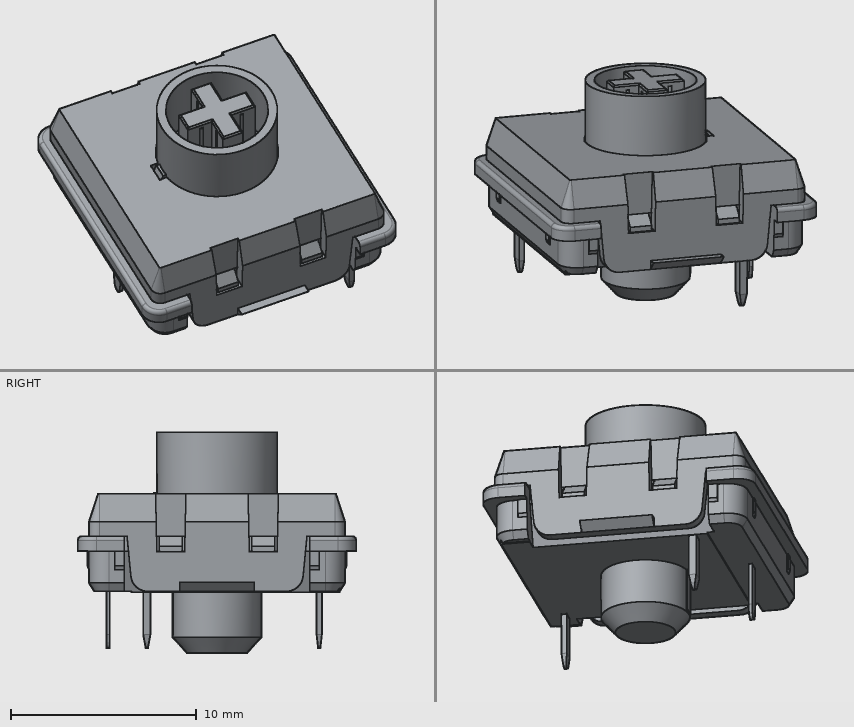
import cadquery as cq
import math

total_height = 11.9
base_bottom = 3.33
flange_bottom = 5.49
base_top = 6.3
slope_start = 7.08
cover_top = 8.6

body_half = 6.9
flange_half = 7.5

cover_slope_inset = 0.5
cover_corner_radius = 0.55
flap_thickness = 0.68
flap_half_top = 4.85
flap_half_bottom = 4.56
flap_corner_radius = 0.9
flap_inner = body_half - flap_thickness

barb_half_width = 2.0
barb_reach = 0.51
barb_height = 0.5

window_center = 2.49
window_width = 1.5
window_top_width = 1.64
window_bottom = 5.46

stem_diameter = 6.5
stem_bore_diameter = 6.6
key_notch_width = 1.14
key_notch_reach = 3.68
key_notch_depth = 0.75

base_corner_radius = 1.08
base_chamfer_height = 0.45
base_chamfer_inset = 0.28
flange_corner_radius = 1.0
flange_round = 0.22
recess_half_width = 5.0
recess_floor_slope = 20.0

hook_width = 1.22
hook_reach = 0.52
hook_edge = 5.75

rib_width = 0.51
rib_protrusion = 0.08
rib_bottom = 4.5
rib_chamfer_height = 0.2
front_rib_offset = 4.26
side_rib_offset = 5.25

pad_half_x = 6.27
pad_y_min = -4.6
pad_y_max = 6.6
pad_thickness = 0.06

post_diameter = 4.8
post_tip_diameter = 3.24
post_taper_height = 0.85
key_rib_width = 0.93
key_rib_bottom = 0.99

cup_diameter = 5.5
cup_depth = 3.6
cross_length = 4.0
cross_arm_width = 1.17
cross_chamfer = 0.09
ridge_diameter = 0.25
ridge_protrusion = 0.05
ridge_offset = 1.2
ridge_top_gap = 0.3
key_width = 0.87
key_reach = 3.63
key_top = 8.64
key_flat_reach = 3.4
key_tip_drop = 0.6

pin_width = 0.8
pin_top = 4.2
pin_tip = 0.27
pin_taper_start = 1.02
pin_round_start = 0.55
pin_round_half_width = 0.32
pin_edge_thickness = 0.14
tapered_pins = [
    (-4.98, -3.78, 0.4),
    (4.98, 5.5, 0.3),
]
flat_pin_x = 0.03
flat_pin_y = -5.86
flat_pin_thickness = 0.2


def box(x_min, x_max, y_min, y_max, z_min, z_max):
    """Axis-aligned block between two opposite corners."""
    return cq.Workplane("XY").box(
        x_max - x_min, y_max - y_min, z_max - z_min, centered=False
    ).translate((x_min, y_min, z_min))


def extrude_along_y(outline, length, y_center=0):
    """Prism with a closed XZ outline, centred on y_center."""
    prism = cq.Workplane("XZ").polyline(outline).close().extrude(length / 2, both=True)
    return prism.translate((0, y_center, 0))


def on_both_x_sides(feature):
    """The feature and its mirror image in the YZ plane."""
    return [feature, feature.mirror("YZ")]


def rounded_block(half, radius, z_min, z_max):
    """Square block with rounded vertical edges."""
    return box(-half, half, -half, half, z_min, z_max).edges("|Z").fillet(radius)


def pin_blank(thickness):
    """Straight pin with a narrowing, rounded end, centred on X = Y = 0."""
    half = pin_width / 2
    return (
        cq.Workplane("XZ")
        .moveTo(-half, pin_top)
        .lineTo(-half, pin_taper_start)
        .lineTo(-pin_round_half_width, pin_round_start)
        .threePointArc((0, pin_tip), (pin_round_half_width, pin_round_start))
        .lineTo(half, pin_taper_start)
        .lineTo(half, pin_top)
        .close()
        .extrude(thickness / 2, both=True)
    )


def tapered_pin(thickness):
    """Pin whose faces also converge towards the tip."""
    half = thickness / 2
    edge = pin_edge_thickness / 2
    side_outline = [
        (-half, pin_top),
        (-half, pin_taper_start),
        (-edge, pin_tip),
        (edge, pin_tip),
        (half, pin_taper_start),
        (half, pin_top),
    ]
    wedge = cq.Workplane("YZ").polyline(side_outline).close().extrude(pin_width / 2, both=True)
    return pin_blank(thickness).intersect(wedge)


def make_pins():
    pins = []
    for x, y, thickness in tapered_pins:
        pins.append(tapered_pin(thickness).translate((x, y, 0)))
    pins.append(pin_blank(flat_pin_thickness).translate((flat_pin_x, flat_pin_y, 0)))
    return pins


def side_recess():
    """Space for the -X cover flap; its floor slopes inwards below the flange."""
    floor_bottom = flap_inner - (flange_bottom - base_bottom) * math.tan(math.radians(recess_floor_slope))
    outline = [
        (-flange_half, base_top),
        (-flap_inner, base_top),
        (-flap_inner, flange_bottom),
        (-floor_bottom, base_bottom - pad_thickness),
        (-flange_half, base_bottom - pad_thickness),
    ]
    return extrude_along_y(outline, 2 * recess_half_width)


def latch_hook(y_center):
    """Snap hook on the -X side, filling the lower part of a cover window."""
    outline = [
        (-flap_inner, window_bottom),
        (-flap_inner - hook_reach, window_bottom),
        (-flap_inner - hook_reach, hook_edge),
        (-flap_inner, base_top),
    ]
    return extrude_along_y(outline, hook_width, y_center)


def wall_rib():
    """Small rib with a sloped lower end, standing on the -X wall at Y = 0."""
    outline = [
        (-flap_inner, flange_bottom),
        (-body_half - rib_protrusion, flange_bottom),
        (-body_half - rib_protrusion, rib_bottom + rib_chamfer_height),
        (-body_half, rib_bottom),
        (-flap_inner, rib_bottom),
    ]
    return extrude_along_y(outline, rib_width)


def locating_post():
    radius = post_diameter / 2
    post = (
        cq.Workplane("XY")
        .circle(radius)
        .extrude(flange_bottom)
        .faces("<Z")
        .chamfer(post_taper_height, (post_diameter - post_tip_diameter) / 2)
    )
    key_rib = box(-key_rib_width / 2, key_rib_width / 2, -radius, 0, key_rib_bottom, flange_bottom)
    return post.union(key_rib)


def make_base(pins):
    body = (
        rounded_block(body_half, base_corner_radius, base_bottom, base_top)
        .faces("<Z")
        .chamfer(base_chamfer_height, base_chamfer_inset)
    )
    flange = (
        rounded_block(flange_half, flange_corner_radius, flange_bottom, base_top)
        .faces(">Z")
        .edges()
        .fillet(flange_round)
    )
    pad = box(-pad_half_x, pad_half_x, pad_y_min, pad_y_max, base_bottom - pad_thickness, base_top)
    base = body.union(flange).union(pad)

    for side in (-1, 1):
        for rib in on_both_x_sides(wall_rib().translate((0, side * side_rib_offset, 0))):
            base = base.union(rib)
        for rib in on_both_x_sides(wall_rib().translate((0, side * front_rib_offset, 0))):
            base = base.union(rib.rotate((0, 0, 0), (0, 0, 1), 90))
    for recess in on_both_x_sides(side_recess()):
        base = base.cut(recess)
    for side in (-1, 1):
        for hook in on_both_x_sides(latch_hook(side * window_center)):
            base = base.union(hook)

    base = base.union(locating_post())
    for pin in pins:
        base = base.cut(pin)
    return base


def side_flap():
    """Flap on the -X side that hangs into the base recess and carries a barb."""
    flap = (
        cq.Workplane("YZ")
        .polyline([
            (-flap_half_top, base_top),
            (-flap_half_bottom, base_bottom),
            (flap_half_bottom, base_bottom),
            (flap_half_top, base_top),
        ])
        .close()
        .extrude(flap_thickness)
        .translate((-body_half, 0, 0))
        .edges("|X and <Z")
        .fillet(flap_corner_radius)
    )
    barb_outline = [
        (-body_half + flap_thickness / 2, base_bottom),
        (-body_half, base_bottom),
        (-body_half - barb_reach, base_bottom + barb_height),
        (-body_half + flap_thickness / 2, base_bottom + barb_height),
    ]
    return flap.union(extrude_along_y(barb_outline, 2 * barb_half_width))


def latch_window(y_center):
    """Tapered channel through the -X wall, from the top down past the hook."""
    half_top = window_top_width / 2
    half_bottom = window_width / 2
    return (
        cq.Workplane("YZ")
        .polyline([
            (-half_bottom, window_bottom),
            (half_bottom, window_bottom),
            (half_top, cover_top),
            (-half_top, cover_top),
        ])
        .close()
        .extrude(flap_thickness)
        .translate((-body_half, y_center, 0))
    )


def make_cover():
    cover = (
        rounded_block(body_half, cover_corner_radius, base_top, cover_top)
        .faces(">Z")
        .chamfer(cover_top - slope_start, cover_slope_inset)
    )
    for flap in on_both_x_sides(side_flap()):
        cover = cover.union(flap)
    for side in (-1, 1):
        for window in on_both_x_sides(latch_window(side * window_center)):
            cover = cover.cut(window)

    stem_bore = cq.Workplane("XY").circle(stem_bore_diameter / 2).extrude(cover_top)
    key_notch = box(
        -key_notch_width / 2, key_notch_width / 2, -key_notch_reach, 0,
        cover_top - key_notch_depth, cover_top,
    )
    return cover.cut(stem_bore).cut(key_notch)


def stem_cross():
    """Cross that fills the cup to its rim, with a ridge on each arm flank."""
    floor = total_height - cup_depth
    arm = cq.Workplane("XY", origin=(0, 0, floor)).rect(cross_length, cross_arm_width).extrude(cup_depth)
    cross = (
        arm.union(arm.rotate((0, 0, 0), (0, 0, 1), 90))
        .faces(">Z")
        .chamfer(cross_chamfer)
    )
    ridge_y = cross_arm_width / 2 + ridge_protrusion - ridge_diameter / 2
    ridges = (
        cq.Workplane("XY", origin=(0, 0, floor))
        .pushPoints([(x, y) for x in (-ridge_offset, ridge_offset) for y in (-ridge_y, ridge_y)])
        .circle(ridge_diameter / 2)
        .extrude(cup_depth - ridge_top_gap)
    )
    return cross.union(ridges).union(ridges.rotate((0, 0, 0), (0, 0, 1), 90))


def stem_key():
    """Wedge on the -Y side that sits in the cover's notch."""
    bottom = cover_top - key_notch_depth
    inside = -(stem_diameter + cup_diameter) / 4
    return (
        cq.Workplane("YZ")
        .polyline([
            (inside, bottom),
            (-key_reach, bottom),
            (-key_reach, key_top - key_tip_drop),
            (-key_flat_reach, key_top),
            (inside, key_top),
        ])
        .close()
        .extrude(key_width / 2, both=True)
    )


def make_stem():
    barrel = (
        cq.Workplane("XY", origin=(0, 0, base_top))
        .circle(stem_diameter / 2)
        .extrude(total_height - base_top)
    )
    cup = (
        cq.Workplane("XY", origin=(0, 0, total_height - cup_depth))
        .circle(cup_diameter / 2)
        .extrude(cup_depth)
    )
    return barrel.cut(cup).union(stem_cross()).union(stem_key())


terminal_pins = make_pins()
base = make_base(terminal_pins)
cover = make_cover()
stem = make_stem()

result = cq.Compound.makeCompound([
    base.val(),
    cover.val(),
    stem.val(),
    *[pin.val() for pin in terminal_pins],
])